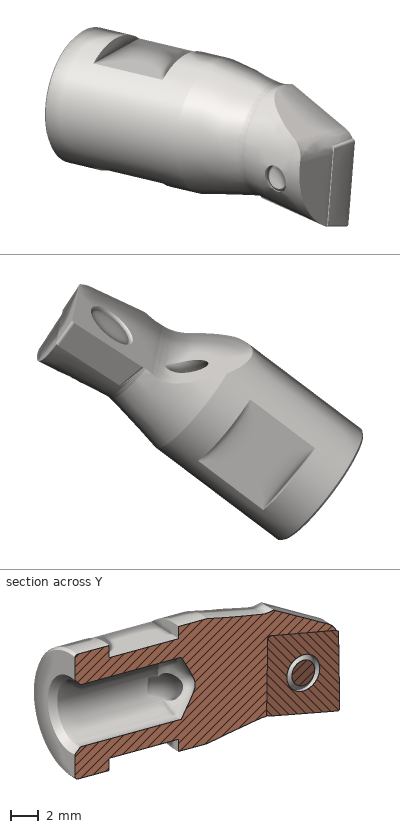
import cadquery as cq
import math

shank_diameter = 10.0
shank_radius = shank_diameter / 2
shank_length = 11.43
back_chamfer = 0.18
neck_radius = 4.15
neck_start = 16.33
neck_end = 16.63
head_end = 24.15
flare_angle = 10.2

flat_start = 3.0
flat_length = 5.98
flat_height = 4.0

bore_diameter = 5.0
bore_mouth_diameter = 5.98
bore_depth = 9.2
bore_point_angle = 118.0
coolant_diameter = 2.0
coolant_start = (8.28, 1.6, -0.5)
coolant_direction = (1.0, 0.0, -0.23)
coolant_length = 11.5

tip_x = 23.0
tip_z = -5.4
rake_tilt = 8.0
lean = math.radians(rake_tilt)

ramp_foot_x = 14.55
ramp_angle = 45.0
ramp_blend_radius = 2.75
clearance_size = 13.8

nose_x = 22.98
nose_height = 6.8
nose_slope = 26.0
nose_radius = 1.5
nose_relief = 8.0
slope_relief = 5.5
trim_depth = 13.8

insert_side = 6.58
insert_thickness = 2.32
insert_relief = 7.0
lower_edge_angle = 10.0
insert_corner_radius = 0.2
insert_hole_diameter = 2.8
insert_sink_diameter = 3.85

screw_head_diameter = 3.4
screw_diameter = 2.0
screw_hole_diameter = 2.05
screw_tip_diameter = 1.56
screw_tip_chamfer = (screw_diameter - screw_tip_diameter) / 2
screw_end_depth = 4.83

edge_angle = math.radians(lower_edge_angle)
edge_run = insert_side * math.cos(edge_angle)
edge_rise = insert_side * math.sin(edge_angle)
insert_center = (-edge_run / 2, (insert_side + edge_rise) / 2)


def rake_plane(depth=0.0):
    """Plane parallel to the rake face; its normal points into the holder."""
    normal = (0, -math.cos(lean), math.sin(lean))
    origin = (tip_x, normal[1] * depth, tip_z + normal[2] * depth)
    return cq.Plane(origin=origin, xDir=(1, 0, 0), normal=normal)


def turned_on_screw_axis(profile):
    """Revolve (radius, depth) points about the insert hole axis."""
    plane = rake_plane()
    axis_plane = cq.Plane(
        origin=plane.toWorldCoords((*insert_center, 0)),
        xDir=(1, 0, 0),
        normal=plane.yDir.multiply(-1),
    )
    return cq.Workplane(axis_plane).polyline(profile).close().revolve(360, (0, 0), (0, 1))


def turned_blank():
    head_radius = neck_radius + (head_end - neck_end) * math.tan(math.radians(flare_angle))
    profile = [
        (0, 0),
        (0, shank_radius - back_chamfer),
        (back_chamfer, shank_radius),
        (shank_length, shank_radius),
        (neck_start, neck_radius),
        (neck_end, neck_radius),
        (head_end, head_radius),
        (head_end, 0),
    ]
    return cq.Workplane("XY").polyline(profile).close().revolve(360, (0, 0), (1, 0))


def wrench_flats():
    cut_height = shank_radius - flat_height
    cutter = cq.Workplane("XY")
    for side in (1, -1):
        cutter = cutter.add(
            cq.Workplane("XY")
            .box(flat_length, shank_diameter, cut_height)
            .translate((flat_start + flat_length / 2, 0, side * (flat_height + cut_height / 2)))
        )
    return cutter.combine()


def rear_bore():
    bore_radius = bore_diameter / 2
    mouth_radius = bore_mouth_diameter / 2
    point_length = bore_radius / math.tan(math.radians(bore_point_angle / 2))
    profile = [
        (0, 0),
        (0, mouth_radius),
        (mouth_radius - bore_radius, bore_radius),
        (bore_depth, bore_radius),
        (bore_depth + point_length, 0),
    ]
    return cq.Workplane("XY").polyline(profile).close().revolve(360, (0, 0), (1, 0))


def coolant_hole():
    return cq.Workplane(cq.Solid.makeCylinder(
        coolant_diameter / 2, coolant_length,
        cq.Vector(*coolant_start), cq.Vector(*coolant_direction),
    ))


def chip_clearance():
    """Space in front of the rake plane, closed by a blended ramp."""
    ramp_run = clearance_size / math.tan(math.radians(ramp_angle))
    far_x = ramp_foot_x + clearance_size
    profile = [
        (ramp_foot_x, 0),
        (far_x, 0),
        (far_x, clearance_size),
        (ramp_foot_x - ramp_run, clearance_size),
    ]
    foot = cq.selectors.NearestToPointSelector((ramp_foot_x, 0, tip_z))
    return (
        cq.Workplane("XY").polyline(profile).close()
        .extrude(clearance_size, both=True)
        .translate((0, 0, tip_z))
        .edges("|Z").edges(foot).fillet(ramp_blend_radius)
        .rotate((0, 0, tip_z), (1, 0, tip_z), -rake_tilt)
    )


def envelope_outline(depth):
    """Corners of the head envelope at one depth behind the rake plane."""
    start_x = -clearance_size
    slope = math.tan(math.radians(nose_slope))
    nose = nose_x - tip_x - depth * math.tan(math.radians(nose_relief))
    drop = depth * math.tan(math.radians(slope_relief))

    def slope_height(x):
        return nose_height + (nose_x - tip_x - x) * slope - drop

    return [
        (start_x, -clearance_size),
        (nose, -clearance_size),
        (nose, slope_height(nose)),
        (start_x, slope_height(start_x)),
    ]


def head_envelope():
    """Relieved prism bounding the head by a sloping top and an end face."""
    prism = (
        cq.Workplane(rake_plane())
        .polyline(envelope_outline(0)).close()
        .workplane(offset=trim_depth)
        .polyline(envelope_outline(trim_depth)).close()
        .loft(ruled=True)
    )
    middle_depth = trim_depth / 2
    corner = envelope_outline(middle_depth)[2]
    middle = rake_plane(middle_depth).toWorldCoords((*corner, 0))
    nose_edge = cq.selectors.NearestToPointSelector(middle.toTuple())
    return prism.edges(nose_edge).fillet(nose_radius)


def sharp_insert():
    return (
        cq.Workplane(rake_plane())
        .polyline([
            (0, 0),
            (0, insert_side),
            (-edge_run, insert_side + edge_rise),
            (-edge_run, edge_rise),
        ])
        .close()
        .extrude(insert_thickness, taper=insert_relief)
    )


def insert_pocket():
    """Seat of the insert, open at the nose end and at the lower side."""
    run = clearance_size * math.cos(edge_angle)
    rise = clearance_size * math.sin(edge_angle)
    return (
        cq.Workplane(rake_plane())
        .polyline([
            (run, insert_side - rise),
            (-edge_run, insert_side + edge_rise),
            (-edge_run, -clearance_size),
            (run, -clearance_size),
        ])
        .close()
        .extrude(insert_thickness, taper=insert_relief)
    )


def screw_hole():
    radius = screw_hole_diameter / 2
    return turned_on_screw_axis([(0, 0), (radius, 0), (radius, trim_depth), (0, trim_depth)])


def make_holder():
    blank = turned_blank()
    rear = cq.Workplane("YZ").circle(clearance_size).extrude(neck_end)
    head = cq.Workplane("YZ", origin=(neck_end, 0, 0)).circle(clearance_size).extrude(head_end)
    shaped_head = blank.intersect(head).intersect(head_envelope())
    holder = blank.intersect(rear).cut(chip_clearance()).union(shaped_head)
    for cutter in (wrench_flats(), rear_bore(), coolant_hole(), insert_pocket(), screw_hole()):
        holder = holder.cut(cutter)
    return holder


def make_insert():
    hole = insert_hole_diameter / 2
    sink = insert_sink_diameter / 2
    profile = [(0, 0), (sink, 0), (hole, sink - hole), (hole, insert_thickness), (0, insert_thickness)]
    rim_edges = cq.selectors.PerpendicularDirSelector(rake_plane().zDir)
    corner_edges = cq.selectors.InverseSelector(rim_edges)
    body = sharp_insert().edges(corner_edges).fillet(insert_corner_radius)
    return body.cut(turned_on_screw_axis(profile))


def make_screw():
    sink = insert_sink_diameter / 2
    head = screw_head_diameter / 2
    shank = screw_diameter / 2
    head_top = sink - head
    profile = [
        (0, head_top),
        (head, head_top),
        (shank, sink - shank),
        (shank, screw_end_depth - screw_tip_chamfer),
        (screw_tip_diameter / 2, screw_end_depth),
        (0, screw_end_depth),
    ]
    return turned_on_screw_axis(profile)


holder = make_holder()
insert = make_insert()
screw = make_screw()
result = cq.Compound.makeCompound([holder.solids().val(), insert.val(), screw.val()])